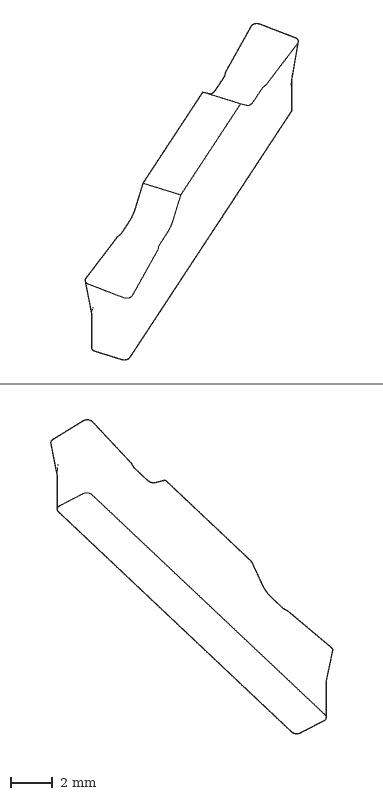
import cadquery as cq
import math


BAR_WIDTH = 2.0
BAR_LENGTH = 19.5
BAR_HEIGHT = 5.65
BAR_CORNER_RADIUS = 0.3

SEAT_HEIGHT = 4.5
CENTRE_LENGTH = 7.0
RAMP_ANGLE = 45.0
RAMP_FOOT_RADIUS = 1.0

HEAD_TIP_Y = 10.0
HEAD_TIP_HALF_WIDTH = 1.288
HEAD_KINK_Y = 6.33
HEAD_ROOT_Y = 5.2
HEAD_CORNER_RADIUS = 0.3
HEAD_KINK_RADIUS = 0.25
CUTTING_EDGE_ANGLE = 5.0
SIDE_TAPER_ANGLE = 3.3
RUN_OUT_ANGLE = 15.0
FRONT_CLEARANCE_ANGLE = 7.0
SIDE_CLEARANCE_ANGLE = 5.0
HEAD_BOTTOM_Z = 0.5


def slope(angle):
    return math.tan(math.radians(angle))


def make_bar():
    """Bar with rounded end corners and a raised centre between two ramps."""
    half_length = BAR_LENGTH / 2
    half_centre = CENTRE_LENGTH / 2
    ramp_foot = half_centre + (BAR_HEIGHT - SEAT_HEIGHT) / slope(RAMP_ANGLE)
    profile = [
        (-half_length, 0),
        (half_length, 0),
        (half_length, SEAT_HEIGHT),
        (ramp_foot, SEAT_HEIGHT),
        (half_centre, BAR_HEIGHT),
        (-half_centre, BAR_HEIGHT),
        (-ramp_foot, SEAT_HEIGHT),
        (-half_length, SEAT_HEIGHT),
    ]
    bar = cq.Workplane("YZ").polyline(profile).close().extrude(BAR_WIDTH / 2, both=True)
    bar = bar.edges("|Z").fillet(BAR_CORNER_RADIUS)
    foot_edges = cq.selectors.BoxSelector(
        (-BAR_WIDTH, -ramp_foot - RAMP_FOOT_RADIUS / 2, SEAT_HEIGHT - RAMP_FOOT_RADIUS / 2),
        (BAR_WIDTH, ramp_foot + RAMP_FOOT_RADIUS / 2, SEAT_HEIGHT + RAMP_FOOT_RADIUS / 2),
    )
    return bar.edges(foot_edges).edges("|X").fillet(RAMP_FOOT_RADIUS)


def head_outline(z):
    """Plan outline of the -Y head at height z, shrunk below the seat by the clearance angles."""
    depth = SEAT_HEIGHT - z
    taper = slope(SIDE_TAPER_ANGLE)
    skew = slope(CUTTING_EDGE_ANGLE)
    tip_y = HEAD_TIP_Y - depth * slope(FRONT_CLEARANCE_ANGLE)
    tip_half_width = HEAD_TIP_HALF_WIDTH - depth * slope(SIDE_CLEARANCE_ANGLE)
    kink_x = tip_half_width - (HEAD_TIP_Y - HEAD_KINK_Y) * taper
    root_x = kink_x - (HEAD_KINK_Y - HEAD_ROOT_Y) * slope(RUN_OUT_ANGLE)

    def corner(side):
        """Meeting point of the skewed cutting edge and the tapered side (+1 or -1 along X)."""
        x = (tip_half_width - (HEAD_TIP_Y - tip_y) * taper) / (1 - side * taper * skew)
        return (side * x, -tip_y - side * x * skew)

    return [
        (-root_x, -HEAD_ROOT_Y),
        (-kink_x, -HEAD_KINK_Y),
        corner(-1),
        corner(1),
        (kink_x, -HEAD_KINK_Y),
        (root_x, -HEAD_ROOT_Y),
    ]


def make_head():
    """Drafted cutting head at the -Y end."""
    head = (
        cq.Workplane("XY").workplane(offset=HEAD_BOTTOM_Z).polyline(head_outline(HEAD_BOTTOM_Z)).close()
        .workplane(offset=SEAT_HEIGHT - HEAD_BOTTOM_Z).polyline(head_outline(SEAT_HEIGHT)).close()
        .loft(ruled=True)
    )
    head = head.faces("<Y").edges("not #Z").fillet(HEAD_CORNER_RADIUS)
    kink_edges = cq.selectors.BoxSelector(
        (-BAR_WIDTH, -HEAD_KINK_Y - HEAD_KINK_RADIUS, 0),
        (BAR_WIDTH, -HEAD_KINK_Y + HEAD_KINK_RADIUS, BAR_HEIGHT),
    )
    return head.edges(kink_edges).edges("not #Z").fillet(HEAD_KINK_RADIUS)


result = make_bar()
for turn in (0, 180):
    result = result.union(make_head().rotate((0, 0, 0), (0, 0, 1), turn))
result = result.clean()